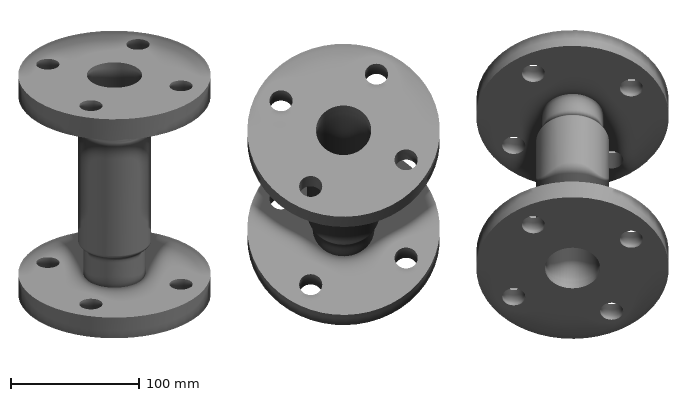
import cadquery as cq
import math

total_length = 192.0
flange_diameter = 150.0
flange_thickness = 18.0

bore_diameter = 43.0
pipe_diameter = 48.2
sleeve_diameter = 57.0
sleeve_span = 108.0

bolt_count = 4
bolt_hole_diameter = 18.0
bolt_circle_diameter = 110.0
first_bolt_angle = 45.0

shoulder_length = 6.0
pipe_radius = pipe_diameter / 2
sleeve_radius = sleeve_diameter / 2
half_rise = (sleeve_radius - pipe_radius) / 2
half_run = shoulder_length / 2
shoulder_sweep = 2 * math.atan(half_rise / half_run)
shoulder_radius = half_run / math.sin(shoulder_sweep)


def make_flange(bottom_z):
    """Round flange with its bolt holes, standing on the given height."""
    return (
        cq.Workplane("XY", origin=(0, 0, bottom_z))
        .circle(flange_diameter / 2)
        .polarArray(bolt_circle_diameter / 2, first_bolt_angle, 360, bolt_count)
        .circle(bolt_hole_diameter / 2)
        .extrude(flange_thickness)
    )


def make_pipe():
    """Solid pipe running between the outer flange faces."""
    return cq.Workplane("XY").circle(pipe_radius).extrude(total_length / 2, both=True)


def make_sleeve():
    """Solid sleeve with an S-curved shoulder at each end."""
    tip_z = sleeve_span / 2
    middle_z = tip_z - half_run
    body_z = tip_z - shoulder_length
    middle_radius = pipe_radius + half_rise

    arc_rise = shoulder_radius * (1 - math.cos(shoulder_sweep / 2))
    arc_run = shoulder_radius * math.sin(shoulder_sweep / 2)
    hollow_radius = pipe_radius + arc_rise
    hollow_z = tip_z - arc_run
    round_radius = sleeve_radius - arc_rise
    round_z = body_z + arc_run

    return (
        cq.Workplane("XZ")
        .moveTo(0, -tip_z)
        .lineTo(pipe_radius, -tip_z)
        .threePointArc((hollow_radius, -hollow_z), (middle_radius, -middle_z))
        .threePointArc((round_radius, -round_z), (sleeve_radius, -body_z))
        .lineTo(sleeve_radius, body_z)
        .threePointArc((round_radius, round_z), (middle_radius, middle_z))
        .threePointArc((hollow_radius, hollow_z), (pipe_radius, tip_z))
        .lineTo(0, tip_z)
        .close()
        .revolve(360, (0, 0, 0), (0, 1, 0))
    )


def make_bore():
    """Straight bore through the whole part."""
    return cq.Workplane("XY").circle(bore_diameter / 2).extrude(total_length / 2, both=True)


lower_flange = make_flange(-total_length / 2)
upper_flange = make_flange(total_length / 2 - flange_thickness)
result = make_pipe().union(make_sleeve()).union(lower_flange).union(upper_flange).cut(make_bore())